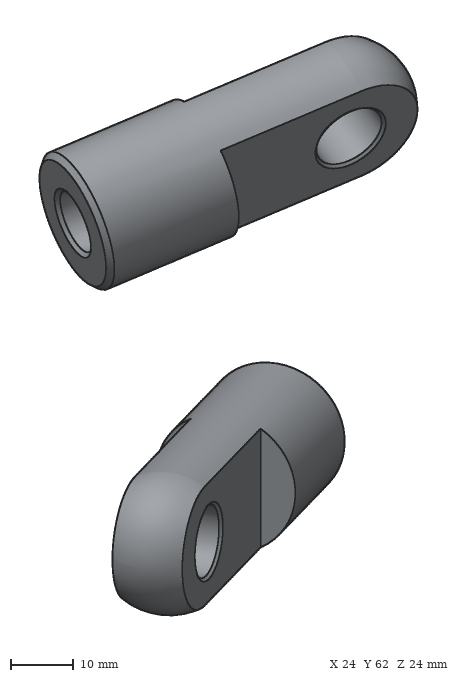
import cadquery as cq
import math

length = 62.0
diameter = 24.0
radius = diameter / 2
face_chamfer = 1.0

tongue_thickness = 12.0
shank_length = diameter

eye_diameter = 12.0
eye_chamfer = 0.5
eye_y = 48.0

bore_diameter = 10.65
bore_mouth_diameter = 12.0
bore_depth = 18.0
drill_point_angle = 118.0


def revolve_about_y(profile):
    return profile.close().revolve(360, (0, 0, 0), (0, 1, 0))


def make_body():
    dome_y = length - radius
    dome_mid = radius * math.sqrt(0.5)
    profile = (
        cq.Workplane("XY")
        .lineTo(radius - face_chamfer, 0)
        .lineTo(radius, face_chamfer)
        .lineTo(radius, dome_y)
        .threePointArc((dome_mid, dome_y + dome_mid), (0, length))
    )
    return revolve_about_y(profile)


def make_side_cut(side):
    """Block that removes one side of the bar; side is -1 or 1."""
    cut_length = length - shank_length
    center_x = side * (tongue_thickness + radius) / 2
    return cq.Workplane("XY").box(radius, cut_length, diameter).translate(
        (center_x, shank_length + cut_length / 2, 0)
    )


def make_bore():
    bore_radius = bore_diameter / 2
    mouth_radius = bore_mouth_diameter / 2
    mouth_depth = mouth_radius - bore_radius
    point_depth = bore_radius / math.tan(math.radians(drill_point_angle / 2))
    profile = (
        cq.Workplane("XY")
        .lineTo(mouth_radius, 0)
        .lineTo(bore_radius, mouth_depth)
        .lineTo(bore_radius, bore_depth)
        .lineTo(0, bore_depth + point_depth)
    )
    return revolve_about_y(profile)


def make_eye():
    """Cross hole, flared by a chamfer at both tongue faces."""
    half_thickness = tongue_thickness / 2
    eye_radius = eye_diameter / 2
    mouth_radius = eye_radius + eye_chamfer
    profile = (
        cq.Workplane("XY")
        .moveTo(-half_thickness, 0)
        .lineTo(-half_thickness, mouth_radius)
        .lineTo(-half_thickness + eye_chamfer, eye_radius)
        .lineTo(half_thickness - eye_chamfer, eye_radius)
        .lineTo(half_thickness, mouth_radius)
        .lineTo(half_thickness, 0)
        .close()
    )
    return profile.revolve(360, (0, 0, 0), (1, 0, 0)).translate((0, eye_y, 0))


result = make_body()
for side in (-1, 1):
    result = result.cut(make_side_cut(side))
result = result.cut(make_bore()).cut(make_eye())